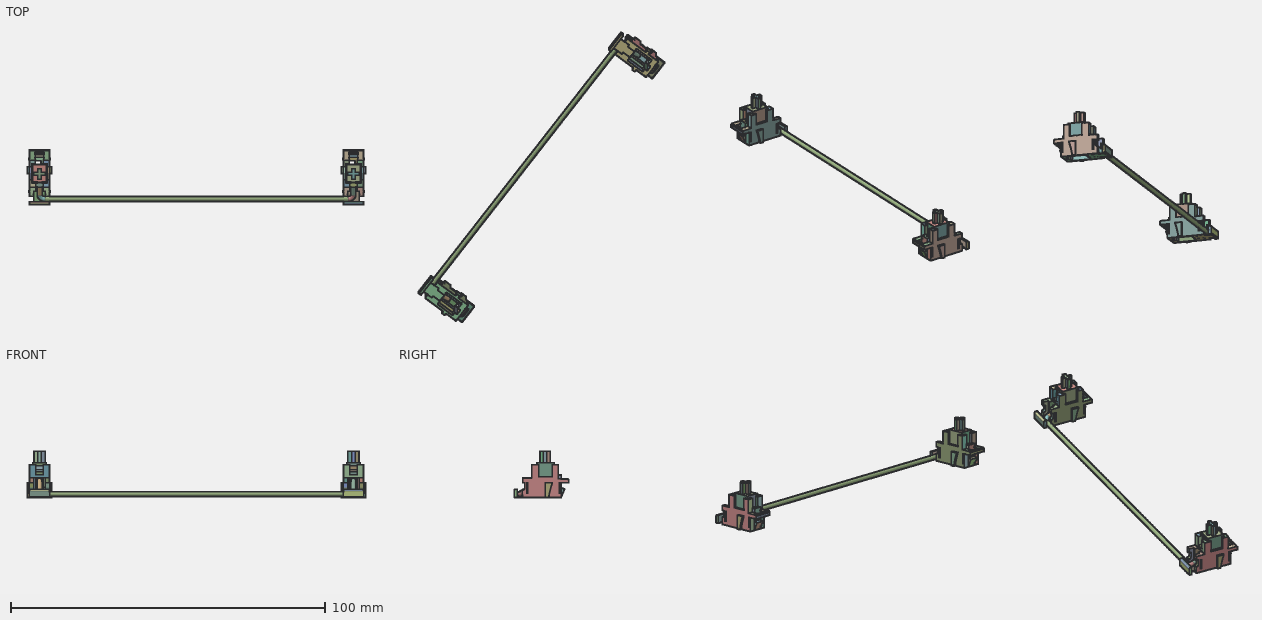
import cadquery as cq
import math


overall_length = 107.8
tab_span = 7.9
housing_offset = (overall_length - tab_span) / 2
housing_sides = (-1, 1)

wire_diameter = 1.6
wire_radius = wire_diameter / 2
wire_bend_radius = 1.7
wire_arm_angle = 30.0
wire_arm_length = 9.0

body_width = 6.5
clip_thickness = 1.02
lip_front = clip_thickness + wire_diameter
lip_height = 2.4
lip_fillet = 0.8
ledge_bottom = 4.6
ledge_front = 2.7
ledge_top = 6.3
tower_front = 5.6
tower_rear = 14.1
tower_top = 10.5
flange_top = 5.9
flange_rear = 17.5
flange_edge_chamfer = 0.3
base_rear = 15.0

clip_height = 2.7
clip_top_fillet = 0.5
clip_bottom_chamfer = 0.2
floor_thickness = 0.27
floor_width = 3.8
mouth_rear = 4.3
wire_slot_width = 2.4
wire_axis_y = clip_thickness + wire_radius
wire_axis_z = floor_thickness + wire_radius

stem_width = 4.4
stem_front = 7.2
stem_rear = 12.8
stem_center_y = (stem_front + stem_rear) / 2
stem_bottom = 3.2
stem_top = 11.1
stem_slot_top = 6.9
window_depth = 0.9
window_top = 10.1
window_slope_top = 8.8
window_slope_bottom = 8.2
cross_center_y = (tower_front + tower_rear) / 2
cross_span_x = 3.7
cross_span_y = 3.3
cross_thickness = 1.02
cross_top = 14.8

stem_clearance = 0.2
well_width = stem_width + 2 * stem_clearance
well_front = stem_front - stem_clearance
well_rear = stem_rear + stem_clearance
side_notch_length = 4.2
side_notch_front = stem_center_y - side_notch_length / 2
side_notch_rear = stem_center_y + side_notch_length / 2
side_notch_bottom = 6.6
end_notch_width = 2.4
end_notch_bottom = 7.2
rear_hole_width = 1.7
rear_hole_shift = -0.4
rear_hole_length = 0.92

latch_width = 2.8
latch_rear = 15.1
hook_rear = 16.1
hook_top = 3.1
hook_tip = 2.7
flange_slot_rear = 16.6

tab_front = 9.9
tab_rear_top = 12.2
tab_rear_bottom = 11.0
tab_bow = 0.1
rib_depth = 0.16
rib_width = 0.4
rib_bottom = 1.4
rib_centers = (4.2, 14.6)


def box(x_center, width, y_range, z_range):
    """Block centred on x_center in X, between two Y and two Z limits."""
    length = y_range[1] - y_range[0]
    height = z_range[1] - z_range[0]
    block = cq.Workplane("XY").box(width, length, height, centered=(True, False, False))
    return block.translate((x_center, y_range[0], z_range[0]))


def side_profile(y, z):
    """Start an outline in the YZ plane, to be extruded equally to both sides of X = 0."""
    return cq.Workplane("YZ").moveTo(y, z)


def housing_shell():
    arc_offset = lip_fillet * math.sin(math.radians(45))
    arc_center_z = lip_height + lip_fillet
    return (
        side_profile(lip_front, 0)
        .lineTo(lip_front, lip_height)
        .threePointArc(
            (lip_front + arc_offset, arc_center_z - arc_offset),
            (lip_front + lip_fillet, arc_center_z),
        )
        .lineTo(lip_front + lip_fillet, ledge_bottom)
        .lineTo(ledge_front, ledge_bottom)
        .lineTo(ledge_front, ledge_top)
        .lineTo(tower_front, ledge_top)
        .lineTo(tower_front, tower_top)
        .lineTo(tower_rear, tower_top)
        .lineTo(tower_rear, flange_top)
        .lineTo(flange_rear - flange_edge_chamfer, flange_top)
        .lineTo(flange_rear, flange_top - flange_edge_chamfer)
        .lineTo(flange_rear, ledge_bottom)
        .lineTo(base_rear, ledge_bottom)
        .lineTo(base_rear, 0)
        .close()
        .extrude(body_width / 2, both=True)
    )


def front_clip():
    clip = box(0, body_width, (0, clip_thickness), (0, clip_height))
    clip = clip.faces("<Y").edges(">Z").fillet(clip_top_fillet)
    clip = clip.faces("<Y").edges("<Z").chamfer(clip_bottom_chamfer)
    floor = box(0, floor_width, (clip_thickness, mouth_rear), (0, floor_thickness))
    return clip.union(floor)


def front_mouth():
    """Open space between the ledge halves and the wire slot leading into the well."""
    mouth = box(0, floor_width, (0, mouth_rear), (floor_thickness, ledge_top))
    slot = box(0, wire_slot_width, (mouth_rear, well_front), (floor_thickness, ledge_top))
    return mouth.union(slot)


def tower_openings():
    """Well for the stem, notches in all four walls and a hole down through the rear wall."""
    well = box(0, well_width, (well_front, well_rear), (0, tower_top))
    side_notches = box(
        0, body_width, (side_notch_front, side_notch_rear), (side_notch_bottom, tower_top)
    )
    end_notches = box(0, end_notch_width, (tower_front, tower_rear), (end_notch_bottom, tower_top))
    rear_hole = box(
        rear_hole_shift, rear_hole_width, (well_rear, well_rear + rear_hole_length), (0, tower_top)
    )
    return well.union(side_notches).union(end_notches).union(rear_hole)


def latch():
    """Tongue against the rear wall with a hook that points to the rear."""
    return (
        side_profile(tower_rear, 0)
        .lineTo(tower_rear, end_notch_bottom)
        .lineTo(latch_rear, end_notch_bottom)
        .lineTo(latch_rear, hook_top)
        .lineTo(hook_rear, hook_tip)
        .lineTo(base_rear, 0)
        .close()
        .extrude(latch_width / 2, both=True)
    )


def side_tabs():
    tab_rear_middle = (tab_rear_top + tab_rear_bottom) / 2 - tab_bow
    return (
        side_profile(tab_front, 0)
        .lineTo(tab_front, ledge_bottom)
        .lineTo(tab_rear_top, ledge_bottom)
        .threePointArc((tab_rear_middle, ledge_bottom / 2), (tab_rear_bottom, 0))
        .close()
        .extrude(tab_span / 2, both=True)
    )


def side_ribs():
    ribs = cq.Workplane("XY")
    for center in rib_centers:
        y_range = (center - rib_width / 2, center + rib_width / 2)
        ribs = ribs.add(box(0, body_width + 2 * rib_depth, y_range, (rib_bottom, ledge_bottom)))
    return ribs.combine()


def make_housing():
    flange_slot = box(0, latch_width, (latch_rear, flange_slot_rear), (ledge_bottom, flange_top))
    return (
        housing_shell()
        .cut(flange_slot)
        .union(latch())
        .union(side_tabs())
        .union(side_ribs())
        .cut(front_mouth())
        .cut(tower_openings())
        .union(front_clip())
    )


def make_stem():
    block = box(0, stem_width, (stem_front, stem_rear), (stem_bottom, stem_top))
    window = (
        side_profile(stem_front, window_top)
        .lineTo(stem_front + window_depth, window_top)
        .lineTo(stem_front + window_depth, window_slope_top)
        .lineTo(stem_front, window_slope_bottom)
        .close()
        .extrude(end_notch_width / 2, both=True)
    )
    wire_slot = box(0, wire_slot_width, (stem_front, stem_rear), (stem_bottom, stem_slot_top))
    cross_height = cross_top - stem_top
    cross = (
        cq.Workplane("XY", origin=(0, cross_center_y, stem_top))
        .rect(cross_span_x, cross_thickness)
        .extrude(cross_height)
        .union(
            cq.Workplane("XY", origin=(0, cross_center_y, stem_top))
            .rect(cross_thickness, cross_span_y)
            .extrude(cross_height)
        )
    )
    return block.cut(window).cut(wire_slot).union(cross)


def make_wire():
    """Round wire: a long bar with an arm at each end, drawn flat and tilted about the bar."""
    bend_shift = wire_bend_radius * (1 - math.sin(math.radians(45)))
    bar_end = housing_offset - wire_bend_radius
    path = (
        cq.Workplane("XY")
        .moveTo(-housing_offset, wire_arm_length)
        .lineTo(-housing_offset, wire_bend_radius)
        .threePointArc((-housing_offset + bend_shift, bend_shift), (-bar_end, 0))
        .lineTo(bar_end, 0)
        .threePointArc(
            (housing_offset - bend_shift, bend_shift), (housing_offset, wire_bend_radius)
        )
        .lineTo(housing_offset, wire_arm_length)
    )
    flat_wire = (
        cq.Workplane("XZ", origin=(-housing_offset, wire_arm_length, 0))
        .circle(wire_radius)
        .sweep(path)
    )
    tilted = flat_wire.rotate((0, 0, 0), (1, 0, 0), wire_arm_angle)
    return tilted.translate((0, wire_axis_y, wire_axis_z))


wire = make_wire()
housings = [make_housing().translate((side * housing_offset, 0, 0)) for side in housing_sides]
stems = [make_stem().translate((side * housing_offset, 0, 0)) for side in housing_sides]

result = cq.Compound.makeCompound(
    [wire.val()] + [body.val() for body in housings] + [body.val() for body in stems]
)